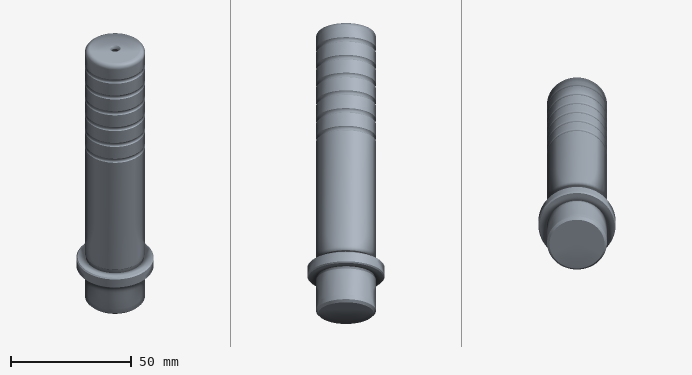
import cadquery as cq
import math

length = 126.0
shaft_radius = 12.5
top_fillet = 2.0

bottom_chamfer = 1.0
lead_top = 3.0
lead_relief = 0.06

collar_radius = 16.0
collar_bottom = 16.0
collar_top = 21.0
collar_chamfer = 0.5
neck_depth = 0.4
neck_radius = shaft_radius - neck_depth
lower_neck_start = 14.7
upper_neck_end = 23.0

groove_count = 6
groove_width = 2.0
groove_depth = 0.5
top_groove_z = 117.9
bottom_groove_z = 78.0
groove_pitch = (top_groove_z - bottom_groove_z) / (groove_count - 1)

hole_mouth_radius = 2.3
hole_radius = 1.3
countersink_angle = 90.0
hole_depth = 10.1
drill_tip_angle = 120.0


def cone_height(radius_change, included_angle):
    """Axial length of a cone whose radius changes by radius_change."""
    return radius_change / math.tan(math.radians(included_angle / 2))


def make_body():
    """Turned pin with collar, relief necks, tapered lead-in and rounded top."""
    lead_radius = shaft_radius - lead_relief
    profile = (
        cq.Workplane("XZ")
        .moveTo(0, 0)
        .lineTo(lead_radius - bottom_chamfer, 0)
        .lineTo(lead_radius, bottom_chamfer)
        .lineTo(shaft_radius, lead_top)
        .lineTo(shaft_radius, lower_neck_start)
        .lineTo(neck_radius, lower_neck_start + neck_depth)
        .lineTo(neck_radius, collar_bottom)
        .lineTo(collar_radius - collar_chamfer, collar_bottom)
        .lineTo(collar_radius, collar_bottom + collar_chamfer)
        .lineTo(collar_radius, collar_top - collar_chamfer)
        .lineTo(collar_radius - collar_chamfer, collar_top)
        .lineTo(neck_radius, collar_top)
        .lineTo(neck_radius, upper_neck_end - neck_depth)
        .lineTo(shaft_radius, upper_neck_end)
        .lineTo(shaft_radius, length)
        .lineTo(0, length)
        .close()
    )
    body = profile.revolve(360, (0, 0, 0), (0, 1, 0))
    return body.faces(">Z").edges().fillet(top_fillet)


def make_groove(mid_z):
    """Ring that cuts a circular-arc groove centred at height mid_z."""
    half_width = groove_width / 2
    arc_radius = (half_width**2 + groove_depth**2) / (2 * groove_depth)
    arc_centre = shaft_radius - groove_depth + arc_radius
    return (
        cq.Workplane("XZ")
        .center(arc_centre, mid_z)
        .circle(arc_radius)
        .revolve(360, (-arc_centre, 0, 0), (-arc_centre, 1, 0))
    )


def make_top_hole():
    """Blind hole: conical mouth, straight bore and pointed tip."""
    cone_bottom = length - cone_height(hole_mouth_radius - hole_radius, countersink_angle)
    bore_bottom = length - hole_depth
    tip_bottom = bore_bottom - cone_height(hole_radius, drill_tip_angle)
    return (
        cq.Workplane("XZ")
        .moveTo(0, length)
        .lineTo(hole_mouth_radius, length)
        .lineTo(hole_radius, cone_bottom)
        .lineTo(hole_radius, bore_bottom)
        .lineTo(0, tip_bottom)
        .close()
        .revolve(360, (0, 0, 0), (0, 1, 0))
    )


result = make_body()
for index in range(groove_count):
    result = result.cut(make_groove(top_groove_z - index * groove_pitch))
result = result.cut(make_top_hole())